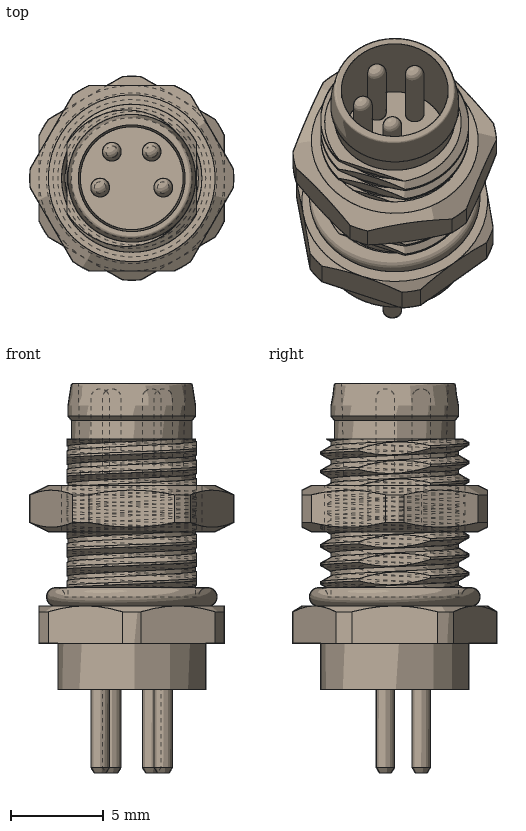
import cadquery as cq
import math

BODY_BOTTOM = 4.5
FLANGE_BOTTOM = 7.0
FLANGE_TOP = 9.0
THREAD_BOTTOM = 10.0
NUT_BOTTOM = 13.0
NUT_TOP = 15.5
THREAD_TOP = 18.0
NECK_TOP = 19.0
BAND_BOTTOM = 19.24
BAND_TOP = 19.78
TOP = 21.0

BODY_RADIUS = 4.0

ACROSS_FLATS = 10.0
CORNER_RADIUS = 5.5
FLANGE_FACE_RADIUS = ACROSS_FLATS / 2
FLANGE_CHAMFER_HEIGHT = 0.32
NUT_FACE_RADIUS = 4.5
NUT_CHAMFER_HEIGHT = 0.5

RING_SECTION_RADIUS = 0.5
RING_CENTRE_RADIUS = 4.1
RING_SINK = 0.02
RING_CENTRE_HEIGHT = FLANGE_TOP + RING_SECTION_RADIUS - RING_SINK

THREAD_RADIUS = 4.0
THREAD_TURNS = 8
PITCH = (THREAD_TOP - THREAD_BOTTOM) / THREAD_TURNS
THREAD_ANGLE = 60
CREST_WIDTH = PITCH / 8
THREAD_DEPTH = 0.55
ROOT_RADIUS = THREAD_RADIUS - THREAD_DEPTH
FLANK_SLOPE = math.tan(math.radians(THREAD_ANGLE / 2))
ROOT_OVERLAP = 0.08
THREAD_FLATS_WIDTH = 7.0

NUT_BORE_RADIUS = 3.78

NECK_RADIUS = 3.25
BAND_RADIUS = 3.45
RIM_RADIUS = 3.25
RIM_FILLET = 0.15
SOCKET_MOUTH_RADIUS = 2.88
SOCKET_FLOOR_RADIUS = 2.77
SOCKET_DEPTH = 5.0

PIN_DIAMETER = 1.0
PIN_RADIUS = PIN_DIAMETER / 2
PIN_TIP_HEIGHT = 20.7
PIN_TAPER_HEIGHT = 0.32
PIN_TAPER_RADIUS = 0.32
REAR_PINS = (1.07, 1.43)
FRONT_PINS = (1.7, -0.5)


def cylinder(radius, bottom, top):
    """Round bar about Z between two heights."""
    return cq.Workplane("XY").workplane(offset=bottom).circle(radius).extrude(top - bottom)


def hexagon(bottom, top, turn):
    """Hexagonal prism, corners on X before it is turned about Z."""
    circumscribed_diameter = ACROSS_FLATS / math.cos(math.radians(30))
    prism = cq.Workplane("XY").workplane(offset=bottom).polygon(6, circumscribed_diameter)
    return prism.extrude(top - bottom).rotate((0, 0, 0), (0, 0, 1), turn)


def make_flange():
    """Hexagon with rounded corners, chamfered on its upper side only."""
    blank = (
        cq.Workplane("XZ")
        .moveTo(0, FLANGE_BOTTOM)
        .lineTo(CORNER_RADIUS, FLANGE_BOTTOM)
        .lineTo(CORNER_RADIUS, FLANGE_TOP - FLANGE_CHAMFER_HEIGHT)
        .lineTo(FLANGE_FACE_RADIUS, FLANGE_TOP)
        .lineTo(0, FLANGE_TOP)
        .close()
        .revolve(360, (0, 0, 0), (0, 1, 0))
    )
    return hexagon(FLANGE_BOTTOM, FLANGE_TOP, 30).intersect(blank)


def make_nut():
    """Hexagon with rounded corners, chamfered on both sides, with a plain bore."""
    blank = (
        cq.Workplane("XZ")
        .moveTo(0, NUT_BOTTOM)
        .lineTo(NUT_FACE_RADIUS, NUT_BOTTOM)
        .lineTo(CORNER_RADIUS, NUT_BOTTOM + NUT_CHAMFER_HEIGHT)
        .lineTo(CORNER_RADIUS, NUT_TOP - NUT_CHAMFER_HEIGHT)
        .lineTo(NUT_FACE_RADIUS, NUT_TOP)
        .lineTo(0, NUT_TOP)
        .close()
        .revolve(360, (0, 0, 0), (0, 1, 0))
    )
    bore = cylinder(NUT_BORE_RADIUS, NUT_BOTTOM, NUT_TOP)
    return hexagon(NUT_BOTTOM, NUT_TOP, 0).intersect(blank).cut(bore)


def make_ring():
    """Sealing ring on its seat, with the post that carries the thread above it."""
    ring = (
        cq.Workplane("XZ")
        .center(RING_CENTRE_RADIUS, RING_CENTRE_HEIGHT)
        .circle(RING_SECTION_RADIUS)
        .revolve(360, (-RING_CENTRE_RADIUS, 0, 0), (-RING_CENTRE_RADIUS, 1, 0))
    )
    seat = cylinder(RING_CENTRE_RADIUS, FLANGE_BOTTOM, RING_CENTRE_HEIGHT)
    post = cylinder(ROOT_RADIUS, FLANGE_BOTTOM, THREAD_BOTTOM)
    return ring.union(seat).union(post)


def make_thread():
    """Threaded length, cut off flat at both ends and on two sides."""
    start = THREAD_BOTTOM - 1.5 * PITCH
    turns = math.ceil((THREAD_TOP - start) / PITCH) + 1
    helix = cq.Wire.makeHelix(PITCH, turns * PITCH, ROOT_RADIUS, cq.Vector(0, 0, start))
    inner_radius = ROOT_RADIUS - ROOT_OVERLAP
    crest_half = CREST_WIDTH / 2
    base_half = crest_half + (THREAD_RADIUS - inner_radius) * FLANK_SLOPE
    ridge = (
        cq.Workplane("XZ")
        .polyline([
            (inner_radius, start - base_half),
            (THREAD_RADIUS, start - crest_half),
            (THREAD_RADIUS, start + crest_half),
            (inner_radius, start + base_half),
        ])
        .close()
        .sweep(cq.Workplane(obj=helix), isFrenet=True)
    )
    core = cylinder(ROOT_RADIUS, start - PITCH, start + (turns + 1) * PITCH)
    envelope = (
        cq.Workplane("XY")
        .workplane(offset=THREAD_BOTTOM)
        .rect(THREAD_FLATS_WIDTH, 3 * THREAD_RADIUS)
        .extrude(THREAD_TOP - THREAD_BOTTOM)
    )
    return core.union(ridge).intersect(envelope)


def make_sleeve():
    """Turned plug sleeve: neck, snap band and tapered rim with a rounded edge."""
    sleeve = (
        cq.Workplane("XZ")
        .moveTo(0, THREAD_TOP)
        .lineTo(NECK_RADIUS, THREAD_TOP)
        .lineTo(NECK_RADIUS, NECK_TOP)
        .lineTo(BAND_RADIUS, BAND_BOTTOM)
        .lineTo(BAND_RADIUS, BAND_TOP)
        .lineTo(RIM_RADIUS, TOP)
        .lineTo(0, TOP)
        .close()
        .revolve(360, (0, 0, 0), (0, 1, 0))
    )
    return sleeve.faces(">Z").edges().fillet(RIM_FILLET)


def make_socket():
    """Cavity of the plug, narrowing slightly towards its floor."""
    mouth = cq.Workplane("XY").workplane(offset=TOP).circle(SOCKET_MOUTH_RADIUS)
    floor = mouth.workplane(offset=-SOCKET_DEPTH).circle(SOCKET_FLOOR_RADIUS)
    return floor.loft(combine=True)


def make_pin(x, y):
    """Contact pin with a domed upper tip and a tapered lower tip."""
    pin = (
        cq.Workplane("XZ")
        .lineTo(PIN_TAPER_RADIUS, 0)
        .lineTo(PIN_RADIUS, PIN_TAPER_HEIGHT)
        .lineTo(PIN_RADIUS, PIN_TIP_HEIGHT - PIN_RADIUS)
        .radiusArc((0, PIN_TIP_HEIGHT), -PIN_RADIUS)
        .close()
        .revolve(360, (0, 0, 0), (0, 1, 0))
    )
    return pin.translate((x, y, 0))


result = cylinder(BODY_RADIUS, BODY_BOTTOM, FLANGE_BOTTOM)
for section in (make_flange(), make_ring(), make_thread(), make_nut(), make_sleeve()):
    result = result.union(section)
result = result.cut(make_socket())
for x, y in (REAR_PINS, FRONT_PINS):
    for side in (-1, 1):
        result = result.union(make_pin(side * x, y))